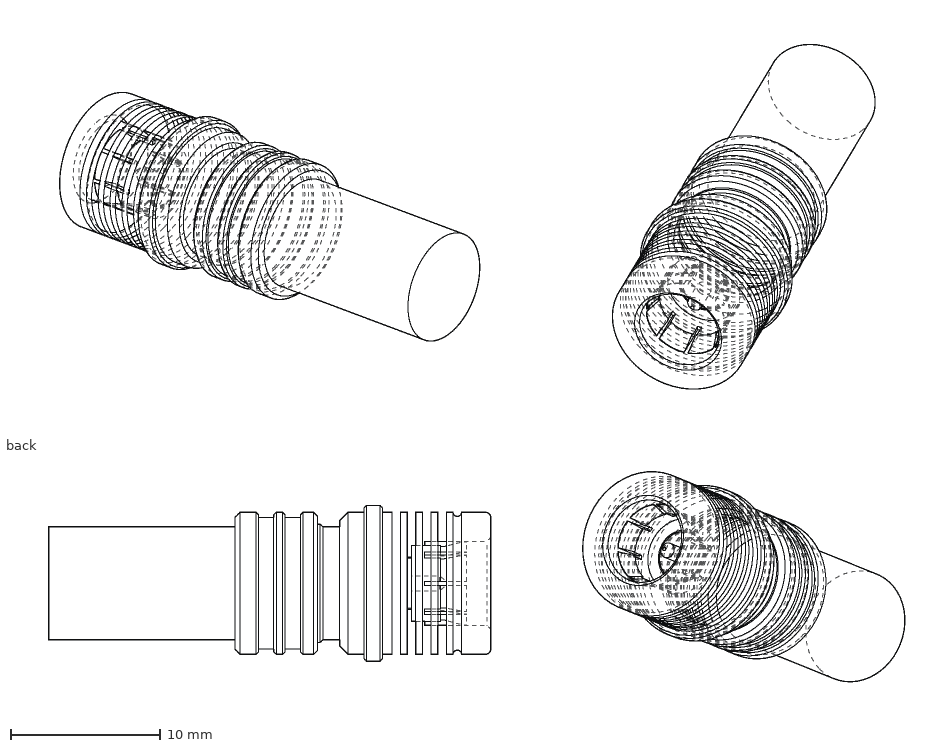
import cadquery as cq


length = 29.62
flange_diameter = 10.45
flange_radius = flange_diameter / 2
body_radius = 4.77
tube_radius = 3.8

sleeve_end = 10.13
sleeve_front_fillet = 0.39
sleeve_rear_chamfer = 0.55
grip_groove_count = 5
grip_groove_radius = 0.28
grip_groove_first = 2.25
grip_groove_last = 6.35
grip_groove_pitch = (grip_groove_last - grip_groove_first) / (grip_groove_count - 1)
flange_start = 7.25
flange_end = 8.5
flange_chamfer = 0.18

shoulder_start = 11.25
shoulder_radius = 3.97
shoulder_chamfer = 0.18
barrel_start = 11.6
barrel_end = 17.15
barrel_radius = 4.4
collar_chamfer = 0.18
front_collar_chamfer = 0.27
rear_collar_chamfer = 0.35
front_collar_end = 12.77
middle_collar_start = 13.77
middle_collar_end = 14.55
rear_collar_start = 15.55

mouth_radius = 3.08
bore_radius = 2.8
mouth_chamfer = mouth_radius - bore_radius
finger_start = 1.63
finger_land_end = 1.9
finger_land_radius = 2.78
throat_start = 3.15
throat_end = 3.38
throat_radius = 2.45
relief_radius = 2.55
bore_floor = 5.33

slot_count = 8
slot_width = 0.27
slot_end = 4.45

insulator_radius = 1.65
insulator_gap = 0.1
insulator_gap_depth = 0.3
pin_radius = 0.5
pin_tip_radius = 0.12
pin_tip_length = 0.47
pin_start = 2.95


def turned(points):
    """Solid of revolution below an outline of (x, radius) points."""
    outline = [(points[0][0], 0)] + points + [(points[-1][0], 0)]
    return cq.Workplane("XY").polyline(outline).close().revolve(360, (0, 0, 0), (1, 0, 0))


def collar(start, end, radius, front_chamfer=0.0, rear_chamfer=0.0):
    """Cylinder along X with optional 45 degree chamfers on its two rims."""
    points = [(start, radius)]
    if front_chamfer:
        points = [(start, radius - front_chamfer), (start + front_chamfer, radius)]
    if rear_chamfer:
        points += [(end - rear_chamfer, radius), (end, radius - rear_chamfer)]
    else:
        points.append((end, radius))
    return turned(points)


def grip_groove(x):
    """Ring that cuts a half-round groove into the sleeve."""
    section = cq.Workplane("XY").center(x, body_radius).circle(grip_groove_radius)
    return section.revolve(360, (0, -body_radius, 0), (1, -body_radius, 0))


def coupling_sleeve():
    sleeve = collar(0, sleeve_end, body_radius, rear_chamfer=sleeve_rear_chamfer)
    sleeve = sleeve.faces("<X").edges().fillet(sleeve_front_fillet)
    for index in range(grip_groove_count):
        sleeve = sleeve.cut(grip_groove(grip_groove_first + index * grip_groove_pitch))
    return sleeve.union(
        collar(flange_start, flange_end, flange_radius, flange_chamfer, flange_chamfer)
    )


def rear_body():
    body = collar(sleeve_end, length, tube_radius)
    body = body.union(collar(shoulder_start, barrel_start, shoulder_radius, shoulder_chamfer))
    body = body.union(collar(barrel_start, barrel_end, barrel_radius))
    body = body.union(
        collar(barrel_start, front_collar_end, body_radius, front_collar_chamfer, collar_chamfer)
    )
    body = body.union(
        collar(middle_collar_start, middle_collar_end, body_radius, collar_chamfer, collar_chamfer)
    )
    return body.union(
        collar(rear_collar_start, barrel_end, body_radius, collar_chamfer, rear_collar_chamfer)
    )


def mating_bore():
    """Chamfered mouth that tapers through the spring fingers to a throat, then opens again."""
    return turned([
        (0, mouth_radius),
        (mouth_chamfer, bore_radius),
        (finger_start, bore_radius),
        (finger_start, finger_land_radius),
        (finger_land_end, finger_land_radius),
        (throat_start, throat_radius),
        (throat_end, throat_radius),
        (throat_end, relief_radius),
        (bore_floor, relief_radius),
    ])


def finger_slots():
    """Radial slots; each bar spans the bore and so makes two opposite slots."""
    slot_length = slot_end - finger_start
    bar = cq.Workplane("XY").box(
        slot_length, slot_width, 2 * bore_radius, centered=(False, True, True)
    ).translate((finger_start, 0, 0))
    bars = bar
    for index in range(1, slot_count // 2):
        bars = bars.union(bar.rotate((0, 0, 0), (1, 0, 0), index * 360 / slot_count))
    return bars.intersect(collar(finger_start, slot_end, bore_radius))


def insulator_groove():
    gap_end = bore_floor + insulator_gap_depth
    outer = collar(bore_floor, gap_end, insulator_radius + insulator_gap)
    return outer.cut(collar(bore_floor, gap_end, insulator_radius))


def centre_pin():
    return turned([
        (pin_start, pin_tip_radius),
        (pin_start + pin_tip_length, pin_radius),
        (bore_floor, pin_radius),
    ])


result = coupling_sleeve().union(rear_body())
result = result.cut(mating_bore()).cut(finger_slots()).cut(insulator_groove())
result = result.union(centre_pin())